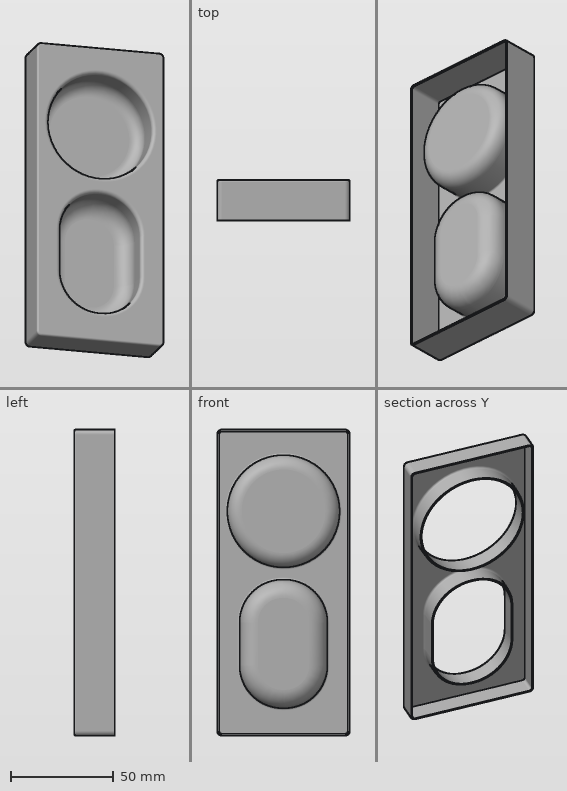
import cadquery as cq

width = 65.0
depth = 20.0
height = 150.0
wall = 1.0
corner_radius = 2.4
floor_edge_radius = wall

dome_rise = depth - wall
root_radius = wall
round_diameter = 55.0
round_z = 35.0
round_top_radius = 7.0
oval_width = 43.0
oval_height = 63.0
oval_corner_radius = 21.0
oval_z = -30.0
oval_top_radius = 9.0

back_y = depth / 2
floor_y = back_y - wall


def plane_at(y, z=0):
    """Sketch plane facing -Y, with its local x and y along X and Z."""
    return cq.Workplane("XZ", origin=(0, y, z))


def rounded_block(y, z, size_x, size_z, radius, length):
    """Block extruded toward -Y with rounded corners."""
    return plane_at(y, z).rect(size_x, size_z).extrude(length).edges("|Y").fillet(radius)


def make_tray():
    body = rounded_block(back_y, 0, width, height, corner_radius, depth)
    body = body.faces(">Y").edges().fillet(floor_edge_radius)
    cavity = rounded_block(
        floor_y, 0, width - 2 * wall, height - 2 * wall, corner_radius - wall, depth
    )
    return body.cut(cavity)


def round_dome(inset, y, length):
    """Round dome offset inward by inset, starting at y."""
    dome = plane_at(y, round_z).circle(round_diameter / 2 - inset).extrude(length)
    return dome.faces("<Y").edges().fillet(round_top_radius - inset)


def oval_dome(inset, y, length):
    """Oval dome offset inward by inset, starting at y."""
    dome = rounded_block(
        y, oval_z, oval_width - 2 * inset, oval_height - 2 * inset, oval_corner_radius - inset, length
    )
    return dome.faces("<Y").edges().fillet(oval_top_radius - inset)


def edges_inside_walls(body, y):
    """Edges lying at y, away from the tray's side walls."""
    margin = 2 * wall
    selection_box = cq.selectors.BoxSelector(
        (-width / 2 + margin, y - wall / 2, -height / 2 + margin),
        (width / 2 - margin, y + wall / 2, height / 2 - margin),
        boundingbox=True,
    )
    return body.edges(selection_box)


tray = make_tray()
for dome in (round_dome, oval_dome):
    tray = tray.union(dome(0, floor_y, dome_rise))
tray = edges_inside_walls(tray, floor_y).fillet(root_radius)

for dome in (round_dome, oval_dome):
    tray = tray.cut(dome(wall, back_y, dome_rise))
result = edges_inside_walls(tray, back_y).fillet(root_radius + wall)